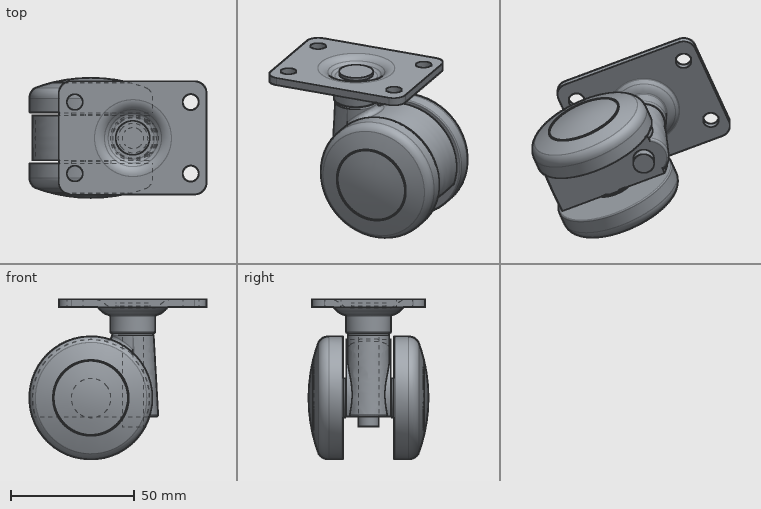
import cadquery as cq
import math


plate_length = 60.0
plate_width = 46.0
plate_thickness = 3.2
plate_corner_radius = 5.0
bolt_spacing_x = 47.0
bolt_spacing_y = 29.0
bolt_hole_diameter = 6.4

dish_angle = math.radians(45)
dish_rim_radius = 15.6
dish_rim_bend = 5.7
dish_depth = 3.4
dish_floor_radius = 8.6
dish_floor_bend = 2.1
dish_under_radius = 14.3
dish_under_bend = 6.5
underside_fillet = 0.4
dish_bottom = -dish_depth - plate_thickness

head_radius = 6.9
head_top = -1.5
head_thickness = 1.2
head_neck_radius = 6.0
collar_radius = 9.15
collar_fillet = 0.8
pin_radius = 4.25
pin_bottom = -51.7

wheel_radius = 25.0
axle_x = -17.0
axle_z = -40.0
wheel_inner_y = 10.25
wheel_inner_fillet = 0.5
tread_end_y = 16.1
dome_edge_y = 20.3
dome_edge_radius = 22.6
dome_peak_y = 24.4
wheel_boss_radius = 8.0
cap_groove_radius = 15.0
cap_groove_width = 0.4
cap_groove_depth = 0.3

fork_top = -13.8
fork_bottom = -47.65
post_radius = 8.5
post_top_radius = 8.2
post_shoulder = 0.9
post_top_lean = 0.05
post_bottom_lean = 1.9
post_bottom_fillet = 1.0
drum_half_width = 9.1
drum_edge_radius = 23.6
drum_crown_radius = 23.9
junction_fillet = 2.2
fork_boss_y = 9.5
fork_boss_radius = 8.0


def revolve_about_z(profile):
    """Turn an XZ profile (x = radius) around the swivel axis."""
    return profile.close().revolve(360, (0, 0, 0), (0, 1, 0))


def make_dish_recess():
    """Hollow of the dish: rounded rim, conical wall and rounded floor corner."""
    rim_run = dish_rim_bend * math.sin(dish_angle)
    rim_drop = dish_rim_bend * (1 - math.cos(dish_angle))
    floor_run = dish_floor_bend * math.sin(dish_angle)
    floor_drop = dish_floor_bend * (1 - math.cos(dish_angle))
    profile = (
        cq.Workplane("XZ")
        .lineTo(dish_rim_radius, 0)
        .radiusArc((dish_rim_radius - rim_run, -rim_drop), -dish_rim_bend)
        .lineTo(dish_floor_radius + floor_run, floor_drop - dish_depth)
        .radiusArc((dish_floor_radius, -dish_depth), dish_floor_bend)
        .lineTo(0, -dish_depth)
    )
    return revolve_about_z(profile)


def make_dish_underside():
    """Bulge below the plate: a cone rounded into a flat bottom."""
    bend_run = dish_under_bend * math.sin(dish_angle)
    bend_drop = dish_under_bend * (1 - math.cos(dish_angle))
    cone_drop = dish_depth - bend_drop
    cone_end_radius = dish_under_radius - cone_drop / math.tan(dish_angle)
    profile = (
        cq.Workplane("XZ")
        .moveTo(0, -plate_thickness)
        .lineTo(dish_under_radius, -plate_thickness)
        .lineTo(cone_end_radius, dish_bottom + bend_drop)
        .radiusArc((cone_end_radius - bend_run, dish_bottom), dish_under_bend)
        .lineTo(0, dish_bottom)
    )
    return revolve_about_z(profile)


def cylinder_z(radius, bottom, top):
    return cq.Workplane("XY", origin=(0, 0, bottom)).circle(radius).extrude(top - bottom)


def make_collar():
    collar_top = (dish_bottom - plate_thickness) / 2
    return cylinder_z(collar_radius, fork_top, collar_top).faces("<Z").edges().fillet(collar_fillet)


def blend_ring(body, radius, low, high):
    """Fillet the circular corner of the given radius found between two heights."""
    outside = cq.selectors.BoxSelector((-radius, -radius, low), (radius, radius, high), boundingbox=True)
    inside_radius = radius - 1
    inside = cq.selectors.BoxSelector(
        (-inside_radius, -inside_radius, low), (inside_radius, inside_radius, high), boundingbox=True
    )
    return body.edges(outside - inside).fillet(underside_fillet)


def make_plate():
    """Plate with dish, swivel collar, pin and rivet head in one body."""
    plate = (
        cq.Workplane("XY", origin=(0, 0, -plate_thickness))
        .rect(plate_length, plate_width)
        .extrude(plate_thickness)
        .edges("|Z")
        .fillet(plate_corner_radius)
        .union(make_dish_underside())
        .union(make_collar())
    )
    margin = 0.1
    plate = blend_ring(plate, dish_under_radius + margin, -plate_thickness - margin, -plate_thickness + margin)
    plate = blend_ring(plate, collar_radius + margin, dish_bottom - margin, dish_bottom + underside_fillet)
    bolt_holes = (
        cq.Workplane("XY", origin=(0, 0, -plate_thickness))
        .rect(bolt_spacing_x, bolt_spacing_y, forConstruction=True)
        .vertices()
        .circle(bolt_hole_diameter / 2)
        .extrude(plate_thickness)
    )
    pin = cylinder_z(pin_radius, pin_bottom, dish_bottom)
    head = cylinder_z(head_radius, head_top - head_thickness, head_top)
    neck = cylinder_z(head_neck_radius, -dish_depth, head_top)
    return plate.cut(make_dish_recess()).cut(bolt_holes).union(pin).union(neck).union(head)


def revolve_about_axle(profile):
    """Turn an XY profile (x = radius, y = along the axle) and move it onto the axle."""
    turned = profile.close().revolve(360, (0, 0, 0), (0, 1, 0))
    return turned.translate((axle_x, 0, axle_z))


def make_drum(half_width):
    """Barrel around the axle, crowned from its edge radius to its crown radius."""
    return revolve_about_axle(
        cq.Workplane("XY")
        .moveTo(0, -half_width)
        .lineTo(drum_edge_radius, -half_width)
        .threePointArc((drum_crown_radius, 0), (drum_edge_radius, half_width))
        .lineTo(0, half_width)
    )


def make_post():
    """Round post whose +X half leans outwards towards the bottom, with a tapered shoulder on top."""
    shoulder_z = fork_top - post_shoulder
    width = 2 * post_radius
    leaning = (
        cq.Workplane("XY", origin=(post_bottom_lean / 2, 0, fork_bottom))
        .slot2D(width + post_bottom_lean, width)
        .workplane(offset=shoulder_z - fork_bottom)
        .center((post_top_lean - post_bottom_lean) / 2, 0)
        .slot2D(width + post_top_lean, width)
        .loft(ruled=True)
        .faces("<Z")
        .edges()
        .fillet(post_bottom_fillet)
    )
    shoulder = (
        cq.Workplane("XY", origin=(0, 0, shoulder_z))
        .circle(post_radius)
        .workplane(offset=post_shoulder)
        .circle(post_top_radius)
        .loft(ruled=True)
    )
    return leaning.union(shoulder)


def make_junction():
    """Rounded corner where the -X half of the post runs into the drum, trimmed to the drum width."""
    size = 4 * drum_crown_radius
    behind = cq.Workplane("XY").box(size, size, size).translate((-size / 2, 0, 0))
    half_post = cylinder_z(post_radius, axle_z, fork_top)
    corner = make_drum(1.3 * drum_half_width).union(half_post).intersect(behind)
    meeting_height = axle_z + math.sqrt(drum_crown_radius**2 - (axle_x + post_radius) ** 2)
    meeting_edge = cq.selectors.NearestToPointSelector((-post_radius, 0, meeting_height))
    rounded = corner.edges(meeting_edge).fillet(junction_fillet)
    beside_post = cq.Workplane("XY").box(size, 2 * drum_half_width, size)
    under_shoulder = (
        cq.Workplane("XY", origin=(0, 0, fork_top - post_shoulder)).rect(size, size).extrude(-size)
    )
    return rounded.intersect(beside_post).intersect(under_shoulder)


def make_fork():
    """Post, drum, rounded junction and axle bosses, cut flat underneath and bored for the pin."""
    size = 4 * drum_crown_radius
    bosses = (
        cq.Workplane("XZ", origin=(axle_x, fork_boss_y, axle_z))
        .circle(fork_boss_radius)
        .extrude(2 * fork_boss_y)
    )
    below = cq.Workplane("XY", origin=(axle_x, 0, fork_bottom)).rect(size, size).extrude(-size)
    round_parts = make_drum(drum_half_width).union(bosses).union(make_junction()).cut(below)
    bore = cylinder_z(pin_radius, fork_bottom, fork_top)
    return make_post().union(round_parts).cut(bore)


def make_wheel(side):
    """Wheel with a domed outer face; side is +1 or -1 along Y."""
    dome_height = dome_peak_y - dome_edge_y
    dome_radius = (dome_edge_radius**2 + dome_height**2) / (2 * dome_height)
    f = wheel_inner_fillet
    profile = (
        cq.Workplane("XY")
        .moveTo(0, fork_boss_y)
        .lineTo(wheel_boss_radius, fork_boss_y)
        .lineTo(wheel_boss_radius, wheel_inner_y)
        .lineTo(wheel_radius - f, wheel_inner_y)
        .radiusArc((wheel_radius, wheel_inner_y + f), -f)
        .lineTo(wheel_radius, tread_end_y)
        .tangentArcPoint((dome_edge_radius, dome_edge_y), relative=False)
        .radiusArc((0, dome_peak_y), -dome_radius)
    )
    wheel = revolve_about_axle(profile)
    groove_mid = cap_groove_radius + cap_groove_width / 2
    groove_y = dome_peak_y - dome_radius + math.sqrt(dome_radius**2 - groove_mid**2)
    groove = revolve_about_axle(
        cq.Workplane("XY")
        .moveTo(cap_groove_radius, groove_y - cap_groove_depth)
        .lineTo(cap_groove_radius + cap_groove_width, groove_y - cap_groove_depth)
        .lineTo(cap_groove_radius + cap_groove_width, dome_peak_y)
        .lineTo(cap_groove_radius, dome_peak_y)
    )
    wheel = wheel.cut(groove)
    return wheel if side > 0 else wheel.mirror("XZ")


plate = make_plate()
fork = make_fork()
wheels = [make_wheel(side) for side in (1, -1)]

result = cq.Compound.makeCompound([plate.val(), fork.val(), *[wheel.val() for wheel in wheels]])